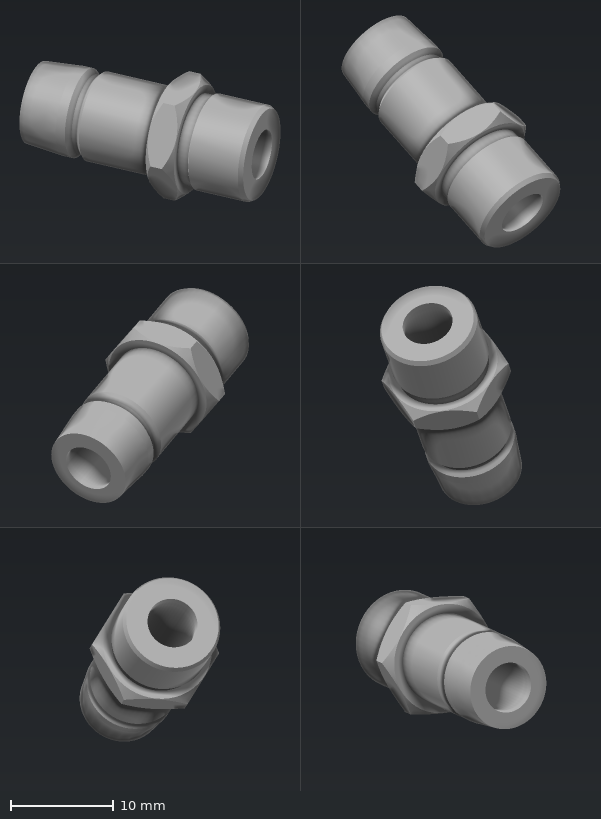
import cadquery as cq
import math

LENGTH = 24.0
BORE_RADIUS = 2.5

TIP_RADIUS = 4.15
BARREL_RADIUS = 4.5
TAPER_LENGTH = 4.0
GROOVE_START = 5.0
GROOVE_DEPTH = 0.5
GROOVE_FLOOR_WIDTH = 0.5

HEX_START = 14.0
HEX_WIDTH = 3.0
HEX_ACROSS_FLATS = 11.0
HEX_SIDES = 6
HEX_FACE_RADIUS = 5.45

RELIEF_RADIUS = 4.6
THREAD_START = 18.12
THREAD_RADIUS = 4.87
THREAD_CHAMFER_ANGLE = math.radians(30)

HEX_END = HEX_START + HEX_WIDTH
HEX_ACROSS_CORNERS = HEX_ACROSS_FLATS / math.cos(math.pi / HEX_SIDES)


def revolve_about_x(outline):
    """Revolve an (x, radius) outline one full turn about the X axis."""
    return cq.Workplane("XY").polyline(outline).close().revolve(360, (0, 0, 0), (1, 0, 0))


def make_turned_body():
    groove_floor_radius = BARREL_RADIUS - GROOVE_DEPTH
    floor_start = GROOVE_START + GROOVE_DEPTH
    floor_end = floor_start + GROOVE_FLOOR_WIDTH
    groove_end = floor_end + GROOVE_DEPTH
    hex_middle = (HEX_START + HEX_END) / 2

    thread_depth = THREAD_RADIUS - RELIEF_RADIUS
    back_chamfer_length = thread_depth * math.tan(THREAD_CHAMFER_ANGLE)
    end_chamfer_length = thread_depth / math.tan(THREAD_CHAMFER_ANGLE)

    return revolve_about_x([
        (0, 0),
        (0, TIP_RADIUS),
        (TAPER_LENGTH, BARREL_RADIUS),
        (GROOVE_START, BARREL_RADIUS),
        (floor_start, groove_floor_radius),
        (floor_end, groove_floor_radius),
        (groove_end, BARREL_RADIUS),
        (hex_middle, BARREL_RADIUS),
        (hex_middle, RELIEF_RADIUS),
        (THREAD_START, RELIEF_RADIUS),
        (THREAD_START + back_chamfer_length, THREAD_RADIUS),
        (LENGTH - end_chamfer_length, THREAD_RADIUS),
        (LENGTH, RELIEF_RADIUS),
        (LENGTH, 0),
    ])


def make_hexagon():
    prism = (
        cq.Workplane("YZ", origin=(HEX_START, 0, 0))
        .polygon(HEX_SIDES, HEX_ACROSS_CORNERS)
        .extrude(HEX_WIDTH)
    )
    cone_length = HEX_WIDTH / 2
    corner_trim = revolve_about_x([
        (HEX_START, 0),
        (HEX_START, HEX_FACE_RADIUS),
        (HEX_START + cone_length, HEX_FACE_RADIUS + cone_length),
        (HEX_END, HEX_FACE_RADIUS),
        (HEX_END, 0),
    ])
    return prism.intersect(corner_trim)


bore = cq.Workplane("YZ").circle(BORE_RADIUS).extrude(LENGTH)

result = make_turned_body().union(make_hexagon()).cut(bore)